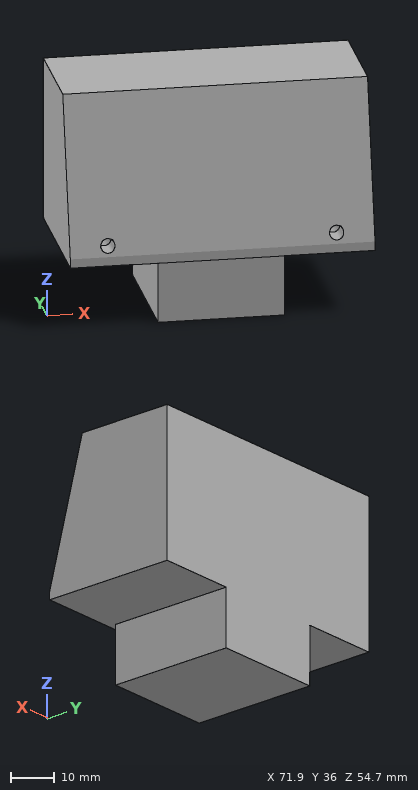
import cadquery as cq
import math

width = 71.9
depth = 36.0
total_height = 54.7
foot_height = 15.3
lip_height = 2.15
top_depth = 26.0

foot_width = 29.85
foot_depth = 33.95

hole_diameter = 3.3
hole_spacing = 53.9
hole_rise = 4.75
hole_depth = 5.0
drill_tip_angle = 118.0

housing_height = total_height - foot_height
slope_run = depth - top_depth
slope_rise = housing_height - lip_height


def make_housing():
    """Side profile in YZ, front lip at Y = 0, extruded across the width."""
    return (
        cq.Workplane("YZ")
        .moveTo(0, foot_height)
        .lineTo(depth, foot_height)
        .lineTo(depth, total_height)
        .lineTo(slope_run, total_height)
        .lineTo(0, foot_height + lip_height)
        .close()
        .extrude(width / 2, both=True)
    )


def make_foot():
    """Centred block whose back is flush with the back of the housing."""
    return (
        cq.Workplane("XY")
        .box(foot_width, foot_depth, foot_height, centered=(True, False, False))
        .translate((0, depth - foot_depth, 0))
    )


def make_drill(x):
    """Cylinder with a conical tip, entering the sloping front along +Y."""
    radius = hole_diameter / 2
    tip_length = radius / math.tan(math.radians(drill_tip_angle / 2))
    mouth_y = (hole_rise - lip_height) * slope_run / slope_rise
    mouth = cq.Vector(x, mouth_y, foot_height + hole_rise)
    inward = cq.Vector(0, 1, 0)
    start = cq.Vector(x, 0, mouth.z)
    shank = cq.Solid.makeCylinder(radius, mouth_y + hole_depth, start, inward)
    tip = cq.Solid.makeCone(radius, 0, tip_length, mouth + inward * hole_depth, inward)
    return shank.fuse(tip)


result = make_housing().union(make_foot())
for side in (-1, 1):
    result = result.cut(cq.Workplane(obj=make_drill(side * hole_spacing / 2)))